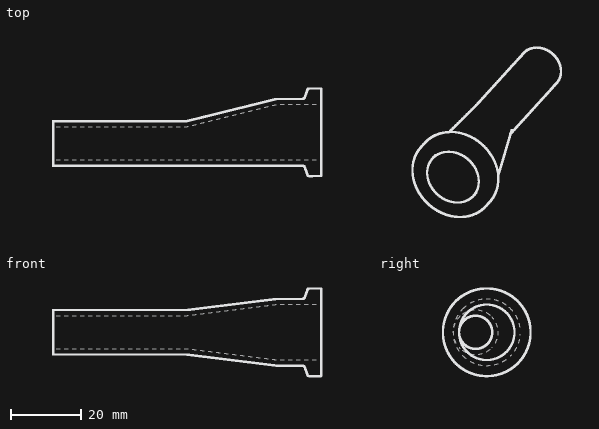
import cadquery as cq
import math

total_length = 76.2
tube_length = 37.95
reducer_end = 63.55
rim_thickness = 3.8

tube_diameter = 12.7
tube_bore = 9.4
neck_diameter = 19.05
neck_bore = 15.8
flange_diameter = 25.0

bevel_angle = 20.0
root_fillet = 0.6
rim_fillet = 0.6
face_fillet = 0.2

tube_offset = (tube_diameter - neck_diameter) / 2


def cylinder(start, end, diameter, y_center=0):
    """Cylinder along X between two stations."""
    plane = cq.Workplane("YZ", origin=(start, y_center, 0))
    return plane.circle(diameter / 2).extrude(end - start)


def eccentric_cone(tube_size, neck_size):
    """Slanted cone from the tube end to the neck, flat along its -Y side."""
    return (
        cq.Workplane("YZ", origin=(tube_length, 0, 0))
        .center(tube_offset, 0)
        .circle(tube_size / 2)
        .workplane(offset=reducer_end - tube_length)
        .center(-tube_offset, 0)
        .circle(neck_size / 2)
        .loft(ruled=True)
    )


def edge_circle(x, radius):
    """Select the circular edge at one station and radius."""
    margin = 0.01
    return cq.selectors.BoxSelector(
        (x - margin, -radius - margin, -radius - margin),
        (x + margin, radius + margin, radius + margin),
        boundingbox=True,
    )


def ferrule():
    """Neck and bevelled clamp flange, revolved about the X axis."""
    neck_radius = neck_diameter / 2
    flange_radius = flange_diameter / 2
    rim_start = total_length - rim_thickness
    bevel_length = (flange_radius - neck_radius) * math.tan(math.radians(bevel_angle))
    neck_end = rim_start - bevel_length

    body = (
        cq.Workplane("XY")
        .moveTo(reducer_end, 0)
        .lineTo(reducer_end, neck_radius)
        .lineTo(neck_end, neck_radius)
        .lineTo(rim_start, flange_radius)
        .lineTo(total_length, flange_radius)
        .lineTo(total_length, 0)
        .close()
        .revolve(360, (0, 0, 0), (1, 0, 0))
    )
    body = body.edges(edge_circle(neck_end, neck_radius)).fillet(root_fillet)
    body = body.edges(edge_circle(rim_start, flange_radius)).fillet(rim_fillet)
    return body.edges(edge_circle(total_length, flange_radius)).fillet(face_fillet)


outside = (
    cylinder(0, tube_length, tube_diameter, tube_offset)
    .union(eccentric_cone(tube_diameter, neck_diameter))
    .union(ferrule())
)
passage = (
    cylinder(0, tube_length, tube_bore, tube_offset)
    .union(eccentric_cone(tube_bore, neck_bore))
    .union(cylinder(reducer_end, total_length, neck_bore))
)

result = outside.cut(passage)